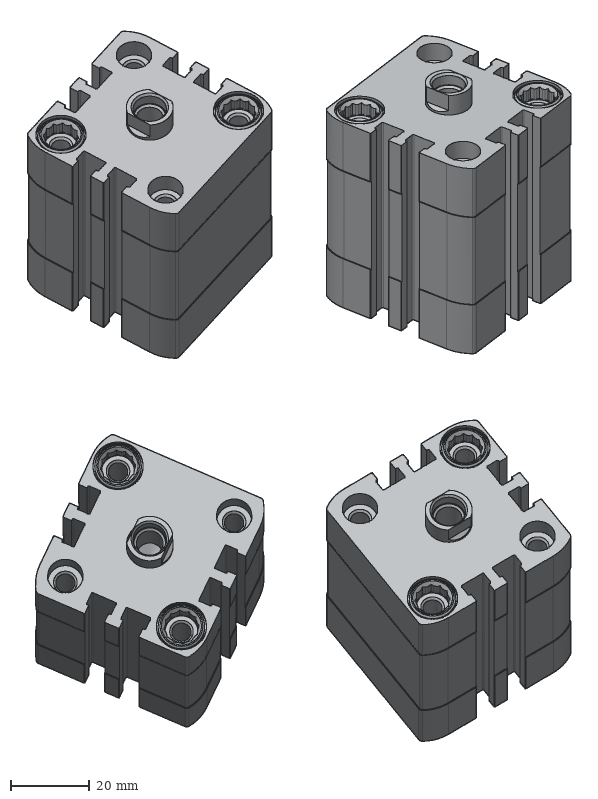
import cadquery as cq
import math

BODY_SIDE = 47.0
BODY_HEIGHT = 56.75
CAP_HEIGHT = 15.0
BARREL_INSET = 0.25
CORNER_PITCH = 32.6
CORNER_ARC_RADIUS = 12.05
CORNER_BLEND_RADIUS = 1.2

SLOT_OFFSET = 4.8
SLOT_MOUTH_WIDTH = 5.5
SLOT_INNER_WIDTH = 6.95
SLOT_LIP_DEPTH = 2.5
SLOT_DEPTH = 6.0
SLOT_CHAMFER_WIDTH = 0.2
SLOT_CHAMFER_DEPTH = 0.1
SLOT_CORNER_RADIUS = 0.3
SLOTTED_FACE_ANGLES = (0, 90, 180)

BOLT_HOLE_DIAMETER = 4.9
BOLT_CONE_DIAMETER = 6.0
PLAIN_RECESS_DIAMETER = 9.0
PLAIN_RECESS_DEPTH = 5.2

GROOVE_OUTER_DIAMETER = 12.8
GROOVE_FLOOR_DIAMETER = 11.9
GROOVE_INNER_DIAMETER = 10.9
GROOVE_CONE_DROP = 0.5
GROOVE_DEPTH = 1.0
SOCKET_MOUTH_DIAMETER = 10.2
SOCKET_ROOT_DIAMETER = 9.0
SOCKET_TIP_DIAMETER = 8.4
SOCKET_CONE_DEPTH = 1.05
SOCKET_NOTCH_DEPTH = 4.2
SOCKET_DEPTH = 4.45
SOCKET_TEETH = 12
TOOTH_TIP_HALF_ANGLE = 5.0

ROD_DIAMETER = 12.0
ROD_PROJECTION = 5.95
ROD_INSERTION = CAP_HEIGHT
FLAT_DISTANCE = 9.7
FLAT_HEIGHT = 4.6
FLAT_RAMP_DROP = 0.75
ROD_MOUTH_DIAMETER = 9.5
ROD_MOUTH_DEPTH = 0.6
ROD_BORE_DIAMETER = 8.5
ROD_BORE_DEPTH = 3.45
THREAD_MOUTH_DIAMETER = 8.0
THREAD_MOUTH_DROP = 0.5
THREAD_HOLE_DIAMETER = 6.8
THREAD_HOLE_DEPTH = 13.8
DRILL_POINT_ANGLE = 118.0

HALF_SIDE = BODY_SIDE / 2
ROD_TOP = BODY_HEIGHT + ROD_PROJECTION


def revolved(profile):
    """Turn a closed (radius, z) profile about the Z axis."""
    return cq.Workplane("XZ").polyline(profile).close().revolve(360, (0, 0), (0, 1))


def housing_band(inset, bottom, height):
    """Square prism with large corner arcs, shrunk evenly by the inset."""
    half = HALF_SIDE - inset
    arc_radius = CORNER_ARC_RADIUS - inset
    blend_radius = CORNER_BLEND_RADIUS - inset
    arc_x = CORNER_PITCH / 2
    arc_y = half - arc_radius
    blend_x = half - blend_radius
    reach = arc_radius - blend_radius
    blend_y = arc_y + math.sqrt(reach**2 - (blend_x - arc_x) ** 2)
    joint_angle = math.atan2(blend_y - arc_y, blend_x - arc_x)

    def on_arc(angle):
        return (arc_x + arc_radius * math.cos(angle), arc_y + arc_radius * math.sin(angle))

    def on_blend(angle):
        return (blend_x + blend_radius * math.cos(angle), blend_y + blend_radius * math.sin(angle))

    quarter = (
        cq.Workplane("XY")
        .workplane(offset=bottom)
        .lineTo(half, 0)
        .lineTo(half, blend_y)
        .threePointArc(on_blend(joint_angle / 2), on_blend(joint_angle))
        .threePointArc(on_arc((joint_angle + math.pi / 2) / 2), (arc_x, half))
        .lineTo(0, half)
        .close()
        .extrude(height)
    )
    right_half = quarter.union(quarter.mirror("XZ"))
    return right_half.union(right_half.mirror("YZ")).clean()


def slot_cutter(offset):
    """One T-slot in the +Y face over the full height, with a chamfered mouth."""
    mouth = SLOT_MOUTH_WIDTH / 2
    inner_height = SLOT_DEPTH - SLOT_LIP_DEPTH
    inner = (
        cq.Workplane("XY")
        .center(offset, HALF_SIDE - SLOT_LIP_DEPTH - inner_height / 2)
        .rect(SLOT_INNER_WIDTH, inner_height)
        .extrude(BODY_HEIGHT)
        .edges("|Z")
        .fillet(SLOT_CORNER_RADIUS)
    )
    neck_bottom = HALF_SIDE - SLOT_LIP_DEPTH
    chamfer_bottom = HALF_SIDE - SLOT_CHAMFER_DEPTH
    flare = mouth + SLOT_CHAMFER_WIDTH
    neck = (
        cq.Workplane("XY")
        .center(offset, 0)
        .polyline(
            [
                (-mouth, neck_bottom),
                (mouth, neck_bottom),
                (mouth, chamfer_bottom),
                (flare, HALF_SIDE),
                (-flare, HALF_SIDE),
                (-mouth, chamfer_bottom),
            ]
        )
        .close()
        .extrude(BODY_HEIGHT)
    )
    return inner.union(neck)


def bolt_hole_cutter(floor_depth):
    """Through hole with a conical entry that starts at the given depth."""
    cone_radius = BOLT_CONE_DIAMETER / 2
    hole_radius = BOLT_HOLE_DIAMETER / 2
    floor = BODY_HEIGHT - floor_depth
    return revolved(
        [
            (0, 0),
            (hole_radius, 0),
            (hole_radius, floor - (cone_radius - hole_radius)),
            (cone_radius, floor),
            (0, floor),
        ]
    )


def plain_corner_cutter():
    """Round recess above a bolt hole."""
    recess = (
        cq.Workplane("XY")
        .workplane(offset=BODY_HEIGHT - PLAIN_RECESS_DEPTH)
        .circle(PLAIN_RECESS_DIAMETER / 2)
        .extrude(PLAIN_RECESS_DEPTH)
    )
    return recess.union(bolt_hole_cutter(PLAIN_RECESS_DEPTH))


def ring_groove_cutter():
    """Groove around the bearing screw, its inner flank sloping at the top."""
    inner_radius = GROOVE_INNER_DIAMETER / 2
    floor_radius = GROOVE_FLOOR_DIAMETER / 2
    outer_radius = GROOVE_OUTER_DIAMETER / 2
    floor = BODY_HEIGHT - GROOVE_DEPTH
    return revolved(
        [
            (inner_radius, BODY_HEIGHT),
            (floor_radius, BODY_HEIGHT - GROOVE_CONE_DROP),
            (floor_radius, floor),
            (outer_radius, floor),
            (outer_radius, BODY_HEIGHT),
        ]
    )


def toothed_socket_cutter():
    """Socket with flat-tipped teeth pointing inwards, below a conical mouth."""
    root_radius = SOCKET_ROOT_DIAMETER / 2
    tip_radius = SOCKET_TIP_DIAMETER / 2
    mouth_radius = SOCKET_MOUTH_DIAMETER / 2
    pitch_angle = 360 / SOCKET_TEETH
    outline = []
    for tooth in range(SOCKET_TEETH):
        root_angle = tooth * pitch_angle
        tip_angle = root_angle + pitch_angle / 2
        for radius, degrees in (
            (root_radius, root_angle),
            (tip_radius, tip_angle - TOOTH_TIP_HALF_ANGLE),
            (tip_radius, tip_angle + TOOTH_TIP_HALF_ANGLE),
        ):
            angle = math.radians(degrees)
            outline.append((radius * math.cos(angle), radius * math.sin(angle)))
    notches = (
        cq.Workplane("XY")
        .workplane(offset=BODY_HEIGHT - SOCKET_NOTCH_DEPTH)
        .polyline(outline)
        .close()
        .extrude(SOCKET_NOTCH_DEPTH)
    )
    floor = BODY_HEIGHT - SOCKET_DEPTH
    bore = revolved(
        [
            (0, floor),
            (tip_radius, floor),
            (tip_radius, BODY_HEIGHT - SOCKET_CONE_DEPTH),
            (mouth_radius, BODY_HEIGHT),
            (0, BODY_HEIGHT),
        ]
    )
    return bore.union(notches)


def make_housing():
    barrel_height = BODY_HEIGHT - 2 * CAP_HEIGHT
    housing = housing_band(BARREL_INSET, CAP_HEIGHT, barrel_height)
    for bottom in (0, BODY_HEIGHT - CAP_HEIGHT):
        housing = housing.union(housing_band(0, bottom, CAP_HEIGHT))

    for face_angle in SLOTTED_FACE_ANGLES:
        for offset in (-SLOT_OFFSET, SLOT_OFFSET):
            housing = housing.cut(slot_cutter(offset).rotate((0, 0, 0), (0, 0, 1), face_angle))

    corner = CORNER_PITCH / 2
    for side in (-1, 1):
        plain = plain_corner_cutter().translate((side * corner, -side * corner, 0))
        housing = housing.cut(plain)
        screw_place = (side * corner, side * corner, 0)
        for cutter in (ring_groove_cutter(), toothed_socket_cutter(), bolt_hole_cutter(SOCKET_DEPTH)):
            housing = housing.cut(cutter.translate(screw_place))

    rod_hole = (
        cq.Workplane("XY")
        .workplane(offset=BODY_HEIGHT - ROD_INSERTION)
        .circle(ROD_DIAMETER / 2)
        .extrude(ROD_INSERTION)
    )
    return housing.cut(rod_hole)


def rod_bore_cutter():
    """Stepped bore: chamfer, clearance bore, thread hole with a conical mouth, drill point."""
    mouth_radius = ROD_MOUTH_DIAMETER / 2
    bore_radius = ROD_BORE_DIAMETER / 2
    thread_mouth_radius = THREAD_MOUTH_DIAMETER / 2
    thread_radius = THREAD_HOLE_DIAMETER / 2
    bore_floor = ROD_TOP - ROD_BORE_DEPTH
    thread_floor = ROD_TOP - THREAD_HOLE_DEPTH
    drill_point = thread_radius / math.tan(math.radians(DRILL_POINT_ANGLE / 2))
    return revolved(
        [
            (0, ROD_TOP),
            (mouth_radius, ROD_TOP),
            (bore_radius, ROD_TOP - ROD_MOUTH_DEPTH),
            (bore_radius, bore_floor),
            (thread_mouth_radius, bore_floor),
            (thread_radius, bore_floor - THREAD_MOUTH_DROP),
            (thread_radius, thread_floor),
            (0, thread_floor - drill_point),
        ]
    )


def wrench_flat_cutter():
    """Wedge that leaves the +Y wrench flat and the ramp below it."""
    flat_y = FLAT_DISTANCE / 2
    surface_y = ROD_DIAMETER / 2
    flat_bottom = ROD_TOP - FLAT_HEIGHT
    return (
        cq.Workplane("YZ")
        .polyline(
            [
                (flat_y, ROD_TOP),
                (flat_y, flat_bottom),
                (surface_y, flat_bottom - FLAT_RAMP_DROP),
                (surface_y, ROD_TOP),
            ]
        )
        .close()
        .extrude(ROD_DIAMETER / 2, both=True)
    )


def make_rod():
    rod = (
        cq.Workplane("XY")
        .workplane(offset=BODY_HEIGHT - ROD_INSERTION)
        .circle(ROD_DIAMETER / 2)
        .extrude(ROD_INSERTION + ROD_PROJECTION)
        .cut(rod_bore_cutter())
    )
    flat = wrench_flat_cutter()
    return rod.cut(flat).cut(flat.mirror("XZ"))


housing = make_housing()
rod = make_rod()

result = cq.Compound.makeCompound([housing.val(), rod.val()])